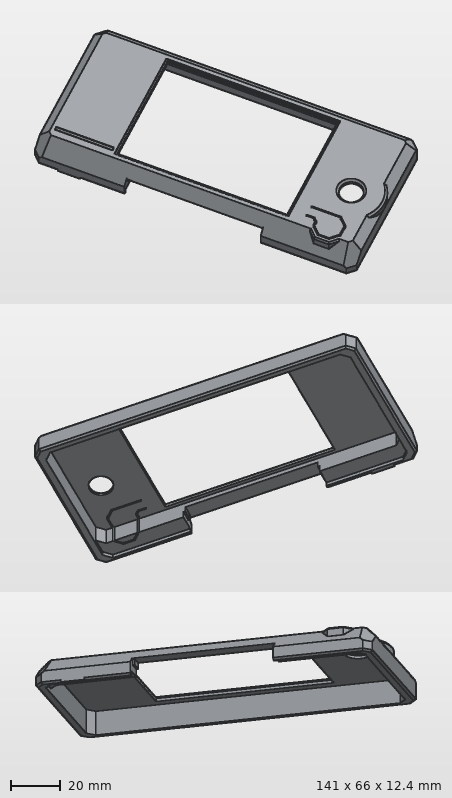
import cadquery as cq
import math

LENGTH = 141.0
WIDTH = 66.0
HEIGHT = 12.4
HALF_LENGTH = LENGTH / 2
HALF_WIDTH = WIDTH / 2

CORNER_LEG = 3.1
SIDE_BEVEL = 4.0
FRONT_BEVEL = 6.9
BASE_CHAMFER = 0.8
FRONT_FACET_HEIGHT = 4.4
FRONT_FACET_INSET = 9.2
REAR_FACET_HEIGHT = 7.6
REAR_FACET_INSET = 5.9
PLAIN_EDGE_START = -59.2
PLAIN_EDGE_LENGTH = 9.9

ROOF = 2.3
END_WALL = 3.7
REAR_WALL = 2.8
FRONT_WALL = 8.3
FRONT_RIM = 1.7
FRONT_STEP_HEIGHT = 2.0

WINDOW_X = -0.1
WINDOW_Y = 1.5
WINDOW_LENGTH = 74.5
WINDOW_WIDTH = 49.6
LEDGE_WIDTH = 0.8
LEDGE_DEPTH = 0.5
REAR_LIP_CHAMFER = 0.4

NOTCH_LENGTH = 59.8
NOTCH_HEIGHT = 7.8
NUB_WIDTH = 0.8
NUB_BASE = 5.2
NUB_SETBACK = 3.4

HOLE_X = 56.0
HOLE_Y = -2.4
HOLE_DIAMETER = 10.0
HOLE_CHAMFER = 1.0
SWELL_RADIUS = 14.5
SWELL_CHAMFER = 1.0

BUTTON_X = 55.0
BUTTON_Y = -21.9
BUTTON_SIDES = 8
HALF_SEGMENT = math.pi / BUTTON_SIDES
BUTTON_APOTHEM = 8.0
BUTTON_CHAMFER = 0.7
SLOT_APOTHEM = 5.8
SLOT_WIDTH = 0.5
SLOT_START_X = 44.7
TONGUE_WIDTH = 4.7
SLOT_BEND = 1.4

GROOVE_START_X = -64.9
GROOVE_LENGTH = 25.2
GROOVE_WIDTH = 1.4
GROOVE_Y = -22.1
GROOVE_DEPTH = 0.4


def block(x_range, y_range, z_range):
    """Box between the given limits on each axis."""
    spans = [high - low for low, high in (x_range, y_range, z_range)]
    return cq.Workplane("XY").box(*spans, centered=False).translate((x_range[0], y_range[0], z_range[0]))


def corner_facet(x_sign, y_sign, facet_height, inset):
    """Wedge that slopes one upper corner from the vertical corner face up to the top."""
    direction = cq.Vector(x_sign, y_sign, 0)
    normal = direction.cross(cq.Vector(0, 0, 1))
    plane = cq.Plane(origin=(0, 0, 0), xDir=direction, normal=normal)
    corner_reach = (HALF_LENGTH + HALF_WIDTH - CORNER_LEG) / math.sqrt(2)
    top_reach = corner_reach - inset / math.sqrt(2)
    run = corner_reach - top_reach
    rise = HEIGHT - facet_height
    profile = [
        (top_reach - run, HEIGHT + rise),
        (corner_reach + run, facet_height - rise),
        (corner_reach + run, HEIGHT + rise),
    ]
    return cq.Workplane(plane).polyline(profile).close().extrude(LENGTH, both=True)


def top_bevel(plane, reach, bevel):
    """Wedge that bevels a whole top edge at 45 degrees, at the given reach from the centre."""
    sign = math.copysign(1, reach)
    points = [(reach, HEIGHT - bevel), (reach, HEIGHT), (reach - sign * bevel, HEIGHT)]
    return cq.Workplane(plane).polyline(points).close().extrude(LENGTH, both=True)


def outer_body():
    body = cq.Workplane("XY").box(LENGTH, WIDTH, HEIGHT, centered=(True, True, False))
    body = body.edges("|Z").chamfer(CORNER_LEG)
    body = body.faces("<Z").edges().chamfer(BASE_CHAMFER)
    plain_edge = block(
        (PLAIN_EDGE_START, PLAIN_EDGE_START + PLAIN_EDGE_LENGTH),
        (-HALF_WIDTH, -HALF_WIDTH + FRONT_RIM),
        (0, FRONT_STEP_HEIGHT),
    )
    body = body.union(plain_edge)

    body = body.cut(top_bevel("YZ", -HALF_WIDTH, FRONT_BEVEL))
    body = body.cut(top_bevel("YZ", HALF_WIDTH, SIDE_BEVEL))
    for x_sign in (-1, 1):
        body = body.cut(top_bevel("XZ", x_sign * HALF_LENGTH, SIDE_BEVEL))
        body = body.cut(corner_facet(x_sign, -1, FRONT_FACET_HEIGHT, FRONT_FACET_INSET))
        body = body.cut(corner_facet(x_sign, 1, REAR_FACET_HEIGHT, REAR_FACET_INSET))
    return body


def swelling():
    disc = cq.Workplane("XY").center(HOLE_X, HOLE_Y).circle(SWELL_RADIUS).extrude(HEIGHT)
    disc = disc.faces(">Z").chamfer(SWELL_CHAMFER)
    limits = block((HOLE_X, HALF_LENGTH), (-HALF_WIDTH, HALF_WIDTH), (HEIGHT - SIDE_BEVEL, HEIGHT))
    return disc.intersect(limits)


def button_boss():
    base = HEIGHT - FRONT_BEVEL
    corner_diameter = 2 * BUTTON_APOTHEM / math.cos(HALF_SEGMENT)
    boss = cq.Workplane("XY").polygon(BUTTON_SIDES, corner_diameter).extrude(FRONT_BEVEL)
    boss = boss.rotate((0, 0, 0), (0, 0, 1), math.degrees(HALF_SEGMENT))
    boss = boss.faces(">Z").chamfer(BUTTON_CHAMFER)
    return boss.translate((BUTTON_X, BUTTON_Y, base))


def cavity():
    x_range = (-HALF_LENGTH + END_WALL, HALF_LENGTH - END_WALL)
    rear = HALF_WIDTH - REAR_WALL
    main = block(x_range, (-HALF_WIDTH + FRONT_WALL, rear), (0, HEIGHT - ROOF))
    step = block(x_range, (-HALF_WIDTH + FRONT_RIM, rear), (0, FRONT_STEP_HEIGHT))
    return main.edges("|Z").chamfer(CORNER_LEG).union(step.edges("|Z").chamfer(CORNER_LEG))


def window():
    opening = cq.Workplane("XY").rect(WINDOW_LENGTH, WINDOW_WIDTH).extrude(HEIGHT)
    ledge_length = WINDOW_LENGTH + 2 * LEDGE_WIDTH
    ledge_width = WINDOW_WIDTH + 2 * LEDGE_WIDTH
    ledge_floor = HEIGHT - LEDGE_DEPTH
    ledge = cq.Workplane("XY").rect(ledge_length, ledge_width).extrude(LEDGE_DEPTH)
    ledge = ledge.translate((0, 0, ledge_floor))
    lip_edge = WINDOW_WIDTH / 2
    profile = [
        (lip_edge, ledge_floor - REAR_LIP_CHAMFER),
        (lip_edge + REAR_LIP_CHAMFER, ledge_floor),
        (lip_edge, ledge_floor),
    ]
    rear_chamfer = cq.Workplane("YZ").polyline(profile).close().extrude(WINDOW_LENGTH / 2, both=True)
    return opening.union(ledge).union(rear_chamfer).translate((WINDOW_X, WINDOW_Y, 0))


def notch():
    left = WINDOW_X - NOTCH_LENGTH / 2
    right = WINDOW_X + NOTCH_LENGTH / 2
    inner_y = -HALF_WIDTH + FRONT_WALL
    opening = block((left, right), (-HALF_WIDTH, inner_y), (0, NOTCH_HEIGHT))
    for nub_left in (left, right - NUB_WIDTH):
        nub = block(
            (nub_left, nub_left + NUB_WIDTH),
            (-HALF_WIDTH + NUB_SETBACK, inner_y),
            (NUB_BASE, NOTCH_HEIGHT),
        )
        opening = opening.cut(nub)
    return opening


def hole():
    bore = cq.Workplane("XY").circle(HOLE_DIAMETER / 2).extrude(HEIGHT)
    mouth = (
        cq.Workplane("XY")
        .workplane(offset=HEIGHT)
        .circle(HOLE_DIAMETER / 2 + HOLE_CHAMFER)
        .extrude(-HOLE_CHAMFER, taper=45)
    )
    return bore.union(mouth).translate((HOLE_X, HOLE_Y, 0))


def button_slot():
    half_side = SLOT_APOTHEM * math.tan(HALF_SEGMENT)
    tongue_start = SLOT_START_X - BUTTON_X
    tongue_front = SLOT_APOTHEM - TONGUE_WIDTH
    path = [
        (tongue_start, SLOT_APOTHEM),
        (half_side, SLOT_APOTHEM),
        (SLOT_APOTHEM, half_side),
        (SLOT_APOTHEM, -half_side),
        (half_side, -SLOT_APOTHEM),
        (-half_side, -SLOT_APOTHEM),
        (-SLOT_APOTHEM, -half_side),
        (-SLOT_APOTHEM, tongue_front - SLOT_BEND),
        (-SLOT_APOTHEM - SLOT_BEND, tongue_front),
        (tongue_start, tongue_front),
    ]
    outline = cq.Workplane("XY").polyline(path).offset2D(SLOT_WIDTH / 2)
    return outline.extrude(HEIGHT).translate((BUTTON_X, BUTTON_Y, 0))


def groove():
    return block(
        (GROOVE_START_X, GROOVE_START_X + GROOVE_LENGTH),
        (GROOVE_Y - GROOVE_WIDTH / 2, GROOVE_Y + GROOVE_WIDTH / 2),
        (HEIGHT - GROOVE_DEPTH, HEIGHT),
    )


result = outer_body().union(swelling()).union(button_boss())
for opening in (cavity(), window(), notch(), hole(), button_slot(), groove()):
    result = result.cut(opening)